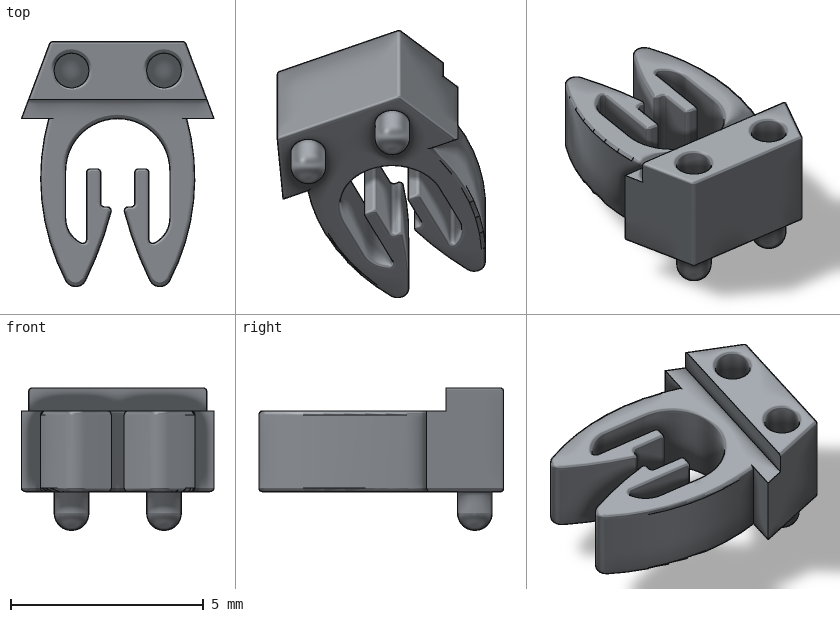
import cadquery as cq
import math

clip_height = 2.1
base_height = 2.7
base_front_y = 1.35
step_y = 1.85
base_back_y = 3.35
base_front_half_width = 2.5
base_back_half_width = 1.75

pin_diameter = 0.9
pin_length = 1.0
pin_spacing = 2.4
pin_y = 2.6
socket_depth = pin_length

arm_root = (1.79, base_front_y)
arm_widest = (2.0, -0.18)
arm_point = (1.08, -3.315)
barb_mid = (0.45, -1.95)
barb_corner = (0.14, -0.94)
tip_radius = 0.29

opening_radius = 1.35
opening_straight_end_y = -1.23
opening_end_curve_radius = 0.72
finger_inner_x = 0.44
finger_outer_x = 0.81
finger_top_y = 0.05
slot_end_radius = 0.1

edge_radius = 0.1
tolerance = 1e-3


def base_half_width(y):
    """Half width of the tapered base at a given Y."""
    fraction = (y - base_front_y) / (base_back_y - base_front_y)
    return base_front_half_width + fraction * (base_back_half_width - base_front_half_width)


def base_slab(front_y, height):
    """Full tapered slab from front_y to the back of the base."""
    front = base_half_width(front_y)
    back = base_back_half_width
    return (
        cq.Workplane("XY")
        .polyline([(-front, front_y), (front, front_y), (back, base_back_y), (-back, base_back_y)])
        .close()
        .extrude(height)
    )


def right_arm():
    """Right half of the clip, its spring finger included, with square vertical corners at the ends."""
    curve_x = opening_radius - opening_end_curve_radius
    round_x = finger_outer_x + slot_end_radius
    center_distance = opening_end_curve_radius - slot_end_radius
    drop = math.sqrt(center_distance**2 - (round_x - curve_x) ** 2)
    round_y = opening_straight_end_y - drop
    join_angle = math.atan2(-drop, round_x - curve_x)

    def on_curve(angle):
        return (
            curve_x + opening_end_curve_radius * math.cos(angle),
            opening_straight_end_y + opening_end_curve_radius * math.sin(angle),
        )

    round_mid_angle = (join_angle - math.pi) / 2
    round_mid = (
        round_x + slot_end_radius * math.cos(round_mid_angle),
        round_y + slot_end_radius * math.sin(round_mid_angle),
    )
    opening_mid = (opening_radius * math.sin(math.pi / 4), opening_radius * math.cos(math.pi / 4))
    return (
        cq.Workplane("XY")
        .moveTo(0, step_y)
        .lineTo(arm_root[0], step_y)
        .lineTo(*arm_root)
        .threePointArc(arm_widest, arm_point)
        .threePointArc(barb_mid, barb_corner)
        .lineTo(finger_inner_x, barb_corner[1])
        .lineTo(finger_inner_x, finger_top_y)
        .lineTo(finger_outer_x, finger_top_y)
        .lineTo(finger_outer_x, round_y)
        .threePointArc(round_mid, on_curve(join_angle))
        .threePointArc(on_curve(join_angle / 2), (opening_radius, opening_straight_end_y))
        .lineTo(opening_radius, 0)
        .threePointArc(opening_mid, (0, opening_radius))
        .close()
        .extrude(clip_height)
        .edges(cq.selectors.NearestToPointSelector((*arm_point, clip_height / 2)))
        .fillet(tip_radius)
    )


def clip_body():
    arm = right_arm()
    base = base_slab(base_front_y, clip_height).union(base_slab(step_y, base_height))
    return base.union(arm).union(arm.mirror("YZ")).clean()


def is_rounded(edge):
    """True for the edges of the body that carry the small edge radius."""
    box = edge.BoundingBox()
    center = edge.Center()
    if box.zlen > tolerance:
        finger_corner = abs(center.y - finger_top_y) < tolerance
        barb_edge = abs(center.y - barb_corner[1]) < tolerance
        back_corner = abs(center.y - base_back_y) < tolerance
        return finger_corner or barb_edge or back_corner
    if center.z < tolerance:
        return True
    if abs(center.z - base_height) < tolerance:
        return center.y > step_y + tolerance
    return box.ymin < base_front_y - tolerance


def round_edges(body):
    rounded = [edge for edge in body.edges().vals() if is_rounded(edge)]
    return body.newObject(rounded).fillet(edge_radius)


def pin_locations():
    return [(-pin_spacing / 2, pin_y), (pin_spacing / 2, pin_y)]


def cut_sockets(body):
    """Blind sockets in the raised step, with a rounded rim."""
    sockets = (
        cq.Workplane("XY", origin=(0, 0, base_height))
        .pushPoints(pin_locations())
        .circle(pin_diameter / 2)
        .extrude(-socket_depth)
    )
    body = body.cut(sockets)
    rims = [
        edge
        for edge in body.edges("%CIRCLE").vals()
        if abs(edge.Center().z - base_height) < tolerance and edge.IsClosed()
    ]
    return body.newObject(rims).fillet(edge_radius)


def add_pins(body):
    """Round-ended pins below the base."""
    radius = pin_diameter / 2
    shank_length = pin_length - radius
    for x, y in pin_locations():
        shank = cq.Workplane("XY", origin=(x, y, -shank_length)).circle(radius).extrude(shank_length)
        end = cq.Workplane("XY", origin=(x, y, -shank_length)).sphere(radius)
        body = body.union(shank).union(end)
    return body


result = add_pins(cut_sockets(round_edges(clip_body())))